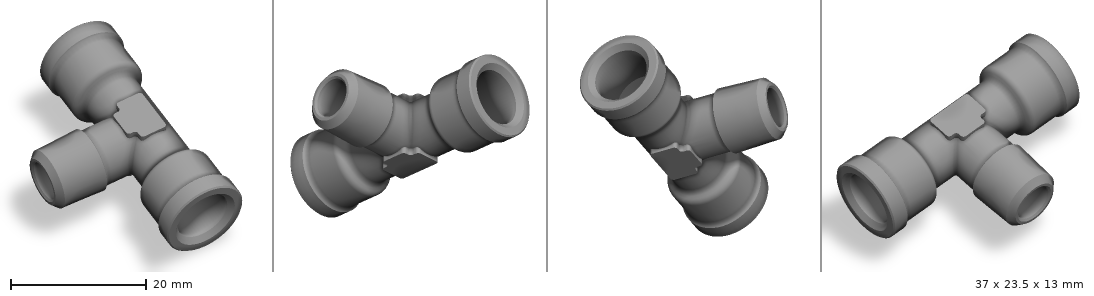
import cadquery as cq
import math

length = 37.0
half_length = length / 2
collar_radius = 13.0 / 2
collar_length = 2.7
collar_chamfer = 0.22
body_radius = 12.0 / 2
body_length = 8.47
neck_radius = 9.0 / 2
blend_radius = 1.0
cone_angle = math.radians(60)

bore_radius = 6.0 / 2
socket_radius = 8.5 / 2
socket_depth = 8.15
seat_angle = math.radians(60)
mouth_radius = 10.15 / 2
mouth_depth = mouth_radius - socket_radius

branch_end = 23.5 - collar_radius
shoulder_place = 8.88
shoulder_radius = 10.0 / 2
taper_end_radius = 4.75
tip_chamfer = 1.0
bore_chamfer = 0.3
crease_radius = 0.37

pad_half_height = 10.0 / 2
pad_width = 7.55
pad_back = 2.22
pad_shoulder = -2.2
pad_front = -3.65
pad_stem_width = 4.48
pad_corner_radius = 0.5


def blend_run(step):
    """Axial length of a blend that is tangent to a cylinder and climbs the given step."""
    return math.sqrt(blend_radius**2 - (blend_radius - step) ** 2)


def blend_middle(step):
    """Middle of that blend: distance from its tangent end, and height above the cylinder."""
    angle = math.acos(1 - step / blend_radius) / 2
    return blend_radius * math.sin(angle), blend_radius * (1 - math.cos(angle))


def run_half():
    """Solid outer shape of the run for X < 0."""
    collar_end = -half_length + collar_length
    body_end = -half_length + body_length

    collar_step = collar_radius - body_radius
    collar_blend_end = collar_end + blend_run(collar_step)
    collar_back, collar_rise = blend_middle(collar_step)

    neck_step = (body_radius - neck_radius) / 3
    round_end = body_end + blend_run(neck_step)
    cone_end = round_end + neck_step / math.tan(cone_angle)
    neck_blend_end = cone_end + blend_run(neck_step)
    neck_back, neck_rise = blend_middle(neck_step)

    return (
        cq.Workplane("XY")
        .moveTo(-half_length, 0)
        .lineTo(-half_length, collar_radius - collar_chamfer)
        .lineTo(-half_length + collar_chamfer, collar_radius)
        .lineTo(collar_end, collar_radius)
        .threePointArc(
            (collar_blend_end - collar_back, body_radius + collar_rise),
            (collar_blend_end, body_radius),
        )
        .lineTo(body_end, body_radius)
        .threePointArc(
            (body_end + neck_back, body_radius - neck_rise),
            (round_end, body_radius - neck_step),
        )
        .lineTo(cone_end, neck_radius + neck_step)
        .threePointArc(
            (neck_blend_end - neck_back, neck_radius + neck_rise),
            (neck_blend_end, neck_radius),
        )
        .lineTo(0, neck_radius)
        .lineTo(0, 0)
        .close()
        .revolve(360, (0, 0, 0), (1, 0, 0))
    )


def branch():
    """Solid outer shape of the branch."""
    step = shoulder_radius - neck_radius
    blend_start = shoulder_place - blend_run(step)
    blend_along, blend_rise = blend_middle(step)
    return (
        cq.Workplane("XY")
        .lineTo(neck_radius, 0)
        .lineTo(neck_radius, -blend_start)
        .threePointArc(
            (neck_radius + blend_rise, -blend_start - blend_along),
            (shoulder_radius, -shoulder_place),
        )
        .lineTo(taper_end_radius, -branch_end + tip_chamfer)
        .lineTo(taper_end_radius - tip_chamfer, -branch_end)
        .lineTo(0, -branch_end)
        .close()
        .revolve(360, (0, 0, 0), (0, 1, 0))
    )


def pads():
    """T-shaped block whose ends stand out above and below the junction."""
    outline = [
        (-pad_width / 2, pad_back),
        (pad_width / 2, pad_back),
        (pad_width / 2, pad_shoulder),
        (pad_stem_width / 2, pad_shoulder),
        (pad_stem_width / 2, pad_front),
        (-pad_stem_width / 2, pad_front),
        (-pad_stem_width / 2, pad_shoulder),
        (-pad_width / 2, pad_shoulder),
    ]
    return (
        cq.Workplane("XY")
        .workplane(offset=-pad_half_height)
        .polyline(outline)
        .close()
        .extrude(2 * pad_half_height)
        .edges("|Z")
        .fillet(pad_corner_radius)
    )


def socket_bore():
    """Bore of the run for X < 0: mouth chamfer, socket, conical seat, through hole."""
    seat_depth = socket_depth + (socket_radius - bore_radius) / math.tan(seat_angle)
    return (
        cq.Workplane("XY")
        .moveTo(-half_length, 0)
        .lineTo(-half_length, mouth_radius)
        .lineTo(-half_length + mouth_depth, socket_radius)
        .lineTo(-half_length + socket_depth, socket_radius)
        .lineTo(-half_length + seat_depth, bore_radius)
        .lineTo(0, bore_radius)
        .lineTo(0, 0)
        .close()
        .revolve(360, (0, 0, 0), (1, 0, 0))
    )


def branch_bore():
    """Bore of the branch, chamfered at its tip."""
    return (
        cq.Workplane("XY")
        .lineTo(bore_radius, 0)
        .lineTo(bore_radius, -branch_end + bore_chamfer)
        .lineTo(bore_radius + bore_chamfer, -branch_end)
        .lineTo(0, -branch_end)
        .close()
        .revolve(360, (0, 0, 0), (0, 1, 0))
    )


def both_ends(half):
    """Join a half of the run to its mirror image."""
    return half.union(half.mirror("YZ"))


tee = both_ends(run_half()).union(branch()).union(pads())
crease_zone = 0.8 * neck_radius
for side in (-1, 1):
    crease = cq.selectors.BoxSelector(
        (side * crease_zone, -crease_zone, -neck_radius),
        (side * neck_radius, -neck_radius, neck_radius),
    )
    tee = tee.edges(crease).fillet(crease_radius)

result = tee.cut(both_ends(socket_bore())).cut(branch_bore())